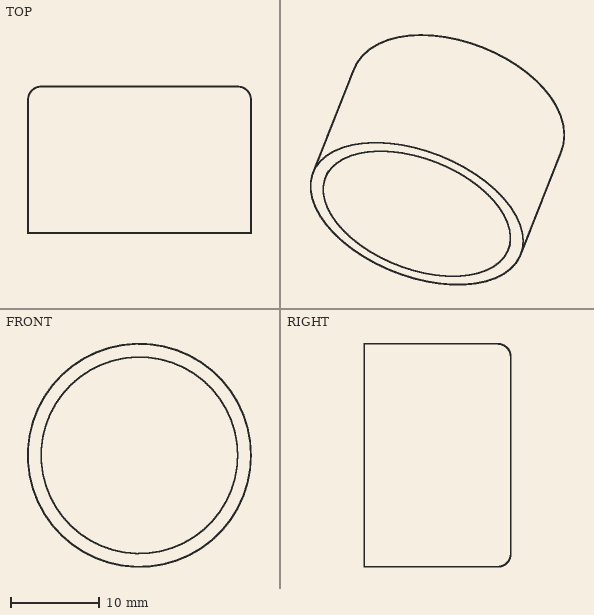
import cadquery as cq

outer_diameter = 25.27
length = 16.6
wall = 1.52
floor_thickness = wall
outer_fillet = wall
inner_fillet = 0.75

outer_radius = outer_diameter / 2
bore_radius = outer_radius - wall
bore_depth = length - floor_thickness


def rounded_cylinder(radius, depth, fillet):
    """Cylinder from the open end toward +Y, with its far rim rounded."""
    front = cq.Workplane("XZ")
    return front.circle(radius).extrude(-depth).faces(">Y").edges().fillet(fillet)


body = rounded_cylinder(outer_radius, length, outer_fillet)
bore = rounded_cylinder(bore_radius, bore_depth, inner_fillet)
result = body.cut(bore)